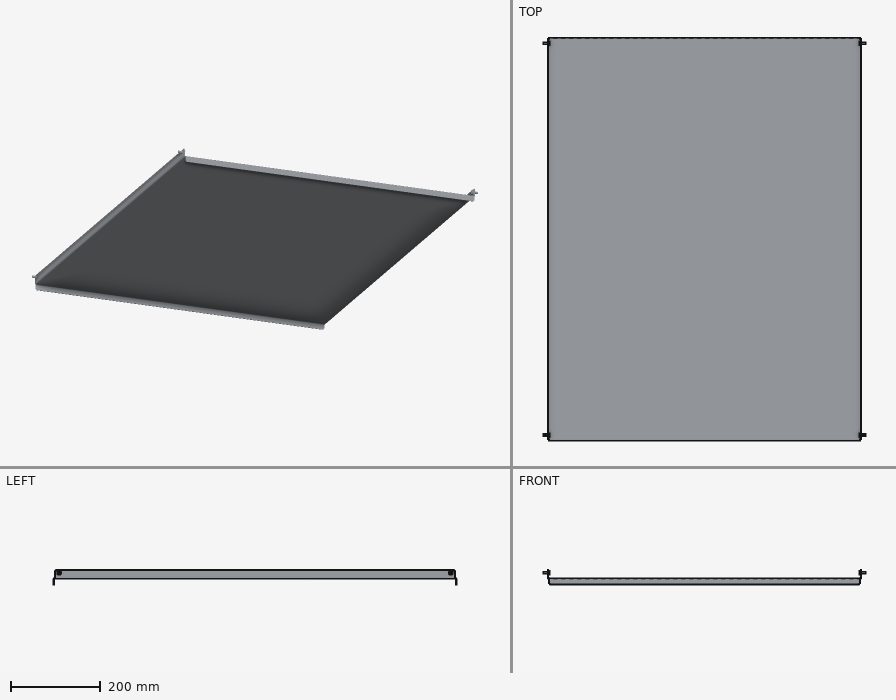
import cadquery as cq

overall_width = 719.0
overall_length = 898.0
overall_height = 32.5

sheet = 1.5
bend_radius = 1.5
outer_bend = bend_radius + sheet
skirt_height = 14.0
rim_height = overall_height - skirt_height + sheet
corner_cut = 3.0
skirt_overhang = 0.5

pin_reach = 10.5
pin_diameter = 5.0
head_diameter = 9.0
head_thickness = 3.0
pin_end_distance = 12.75
pin_drop = 6.5

tray_width = overall_width - 2 * pin_reach
half_width = tray_width / 2
half_length = overall_length / 2
flat_width = tray_width - 2 * outer_bend
flat_length = overall_length - 2 * outer_bend
skirt_length = flat_width + 2 * skirt_overhang
pin_y = half_length - pin_end_distance
pin_z = rim_height - pin_drop


def folded_flange(height, length):
    """Flange bent up from the Y axis, centred on it, with its outside facing +X and its free corners cut."""
    return (
        cq.Workplane("XZ")
        .lineTo(0, sheet)
        .radiusArc((bend_radius, outer_bend), -bend_radius)
        .lineTo(bend_radius, height)
        .lineTo(outer_bend, height)
        .lineTo(outer_bend, outer_bend)
        .radiusArc((0, 0), outer_bend)
        .close()
        .extrude(length / 2, both=True)
        .edges("|X and >Z")
        .chamfer(corner_cut)
    )


def make_tray():
    """Flat panel with rims folded up along its long sides and skirts folded down at its ends."""
    tray = cq.Workplane("XY").box(flat_width, flat_length, sheet, centered=(True, True, False))

    rim = folded_flange(rim_height, flat_length).translate((flat_width / 2, 0, 0))
    skirt = (
        folded_flange(skirt_height, skirt_length)
        .rotate((0, 0, 0), (1, 0, 0), 180)
        .rotate((0, 0, 0), (0, 0, 1), 90)
        .translate((0, flat_length / 2, sheet))
    )
    for flange in (rim, skirt):
        tray = tray.union(flange).union(flange.rotate((0, 0, 0), (0, 0, 1), 180))

    pin_holes = (
        cq.Workplane("YZ")
        .pushPoints([(-pin_y, pin_z), (pin_y, pin_z)])
        .circle(pin_diameter / 2)
        .extrude(half_width, both=True)
    )
    return tray.cut(pin_holes)


def make_pin(side, y):
    """Headed pin through a rim: head against the inner face, shank sticking out on the given side."""
    head_seat = half_width - sheet
    shank = (
        cq.Workplane("YZ", origin=(side * head_seat, y, pin_z))
        .circle(pin_diameter / 2)
        .extrude(side * (sheet + pin_reach))
    )
    head = (
        cq.Workplane("YZ", origin=(side * head_seat, y, pin_z))
        .circle(head_diameter / 2)
        .extrude(-side * head_thickness)
    )
    return shank.union(head)


tray = make_tray()
pins = [make_pin(side, y) for side in (-1, 1) for y in (-pin_y, pin_y)]

result = cq.Compound.makeCompound([tray.val(), *[pin.val() for pin in pins]])